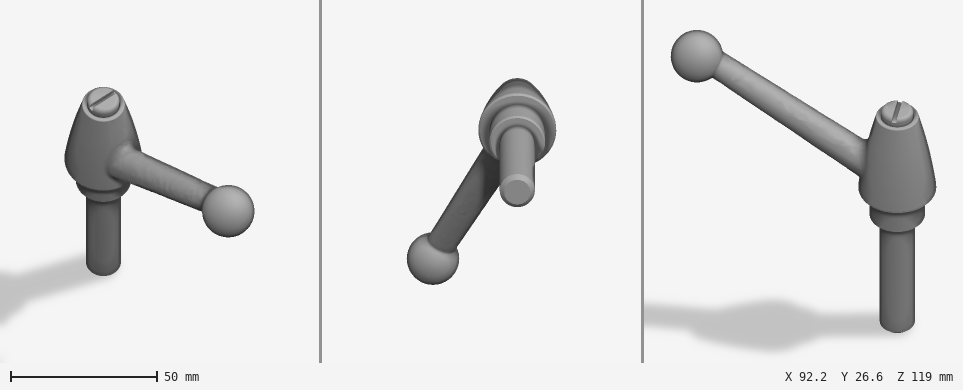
import cadquery as cq
import math

stud_diameter = 12.0
stud_chamfer = 1.5
collar_bottom = 50.0
collar_diameter = 19.0
collar_chamfer = 0.6

hub_bottom = 62.0
hub_rim_height = 1.3
hub_top = 95.1
hub_base_radius = 13.3
hub_top_radius = 7.3
hub_bulge = 0.6
hub_bottom_chamfer = 0.6
hub_bore_diameter = 11.2
hub_bore_depth = 2.4
hub_lip_fillet = 0.4

screw_diameter = 11.0
screw_top = 98.2
screw_fillet = 1.4
slot_width = 1.7
slot_depth = 1.5

overall_height = 119.0
overall_length = 92.2
ball_diameter = 18.0
ball_radius = ball_diameter / 2
ball_x = overall_length - hub_base_radius - ball_radius
ball_z = overall_height - ball_radius

arm_root_x = 13.1
arm_root_z = 74.3
arm_angle = 33.8
arm_length = 58.4
root_height = 11.2
root_width = 12.0
tip_height = 8.8
tip_width = 10.4
hub_overlap = 9.5
ball_overlap = 4.2
root_fillet = 2.4
tip_fillet = 0.7


def make_spindle():
    stud = cq.Workplane("XY").circle(stud_diameter / 2).extrude(hub_bottom)
    stud = stud.faces("<Z").chamfer(stud_chamfer)
    collar = (
        cq.Workplane("XY", origin=(0, 0, collar_bottom))
        .circle(collar_diameter / 2)
        .extrude(hub_bottom - collar_bottom)
        .faces("<Z")
        .chamfer(collar_chamfer)
    )
    return stud.union(collar)


def make_hub():
    rim_top = hub_bottom + hub_rim_height
    middle_radius = (hub_base_radius + hub_top_radius) / 2 + hub_bulge
    middle_z = (rim_top + hub_top) / 2
    bell = (
        cq.Workplane("XZ")
        .moveTo(0, hub_bottom)
        .lineTo(hub_base_radius - hub_bottom_chamfer, hub_bottom)
        .lineTo(hub_base_radius, hub_bottom + hub_bottom_chamfer)
        .lineTo(hub_base_radius, rim_top)
        .threePointArc((middle_radius, middle_z), (hub_top_radius, hub_top))
        .lineTo(0, hub_top)
        .close()
        .revolve(360, (0, 0), (0, 1))
    )
    bored = bell.faces(">Z").workplane(origin=(0, 0, hub_top)).hole(hub_bore_diameter, hub_bore_depth)
    return bored.faces(">Z").edges().fillet(hub_lip_fillet)


def make_arm():
    angle = math.radians(arm_angle)
    direction = cq.Vector(math.cos(angle), 0, math.sin(angle))
    start = cq.Vector(arm_root_x, 0, arm_root_z) - direction * hub_overlap

    def half_size(at_root, at_tip, distance):
        return (at_root + (at_tip - at_root) * distance / arm_length) / 2

    near = -hub_overlap
    far = arm_length + ball_overlap
    section_plane = cq.Plane(origin=start, xDir=(0, 1, 0), normal=direction)
    return (
        cq.Workplane(section_plane)
        .ellipse(half_size(root_width, tip_width, near), half_size(root_height, tip_height, near))
        .workplane(offset=far - near)
        .ellipse(half_size(root_width, tip_width, far), half_size(root_height, tip_height, far))
        .loft(ruled=True)
    )


def make_ball():
    return cq.Workplane("XY").sphere(ball_radius).translate((ball_x, 0, ball_z))


def make_screw_head():
    bore_floor = hub_top - hub_bore_depth
    head = (
        cq.Workplane("XY", origin=(0, 0, bore_floor))
        .circle(screw_diameter / 2)
        .extrude(screw_top - bore_floor)
        .faces(">Z")
        .edges()
        .fillet(screw_fillet)
    )
    slot = (
        cq.Workplane("XY", origin=(0, 0, screw_top - slot_depth))
        .rect(slot_width, screw_diameter)
        .extrude(slot_depth)
    )
    return head.cut(slot)


def joint_edge(low_x, high_x):
    """Box selector for the seam between the arm and a neighbouring body."""
    return cq.selectors.BoxSelector(
        (low_x, -ball_radius, hub_bottom + 2 * hub_rim_height),
        (high_x, ball_radius, overall_height),
    )


lever = make_hub().union(make_arm()).union(make_ball())
lever = lever.edges(joint_edge(hub_top_radius, 2 * hub_base_radius)).fillet(root_fillet)
lever = lever.edges(joint_edge(ball_x - ball_radius, ball_x - ball_radius / 2)).fillet(tip_fillet)

result = lever.union(make_spindle()).union(make_screw_head())